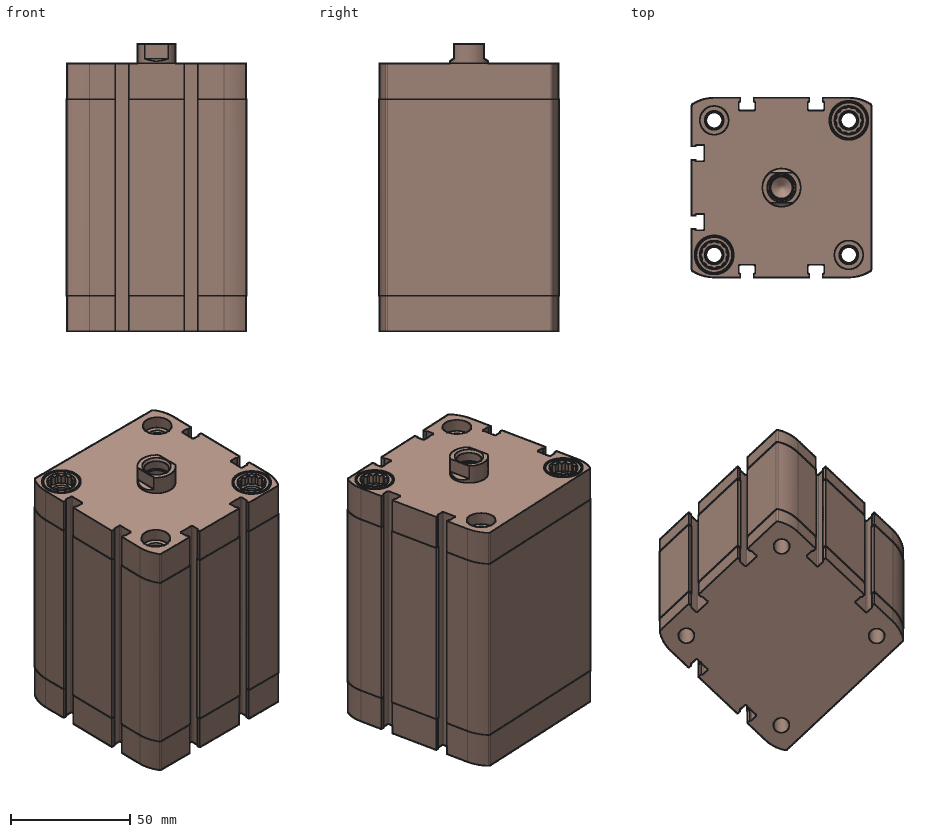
import cadquery as cq
import math

TOTAL_HEIGHT = 120.6
BODY_WIDTH = 75.5
ROD_PROTRUSION = 8.2
BODY_HEIGHT = TOTAL_HEIGHT - ROD_PROTRUSION
CAP_HEIGHT = 15.0
CAP_INSET = 0.1

HOLE_OFFSET = 28.2
CORNER_RADIUS = 16.9
EDGE_ROUND = 1.0

SLOT_OFFSET = 14.5
SLOT_OPENING = 5.5
SLOT_INNER_WIDTH = 6.8
SLOT_CORNER_RADIUS = 0.4
SLOT_LIP = 1.7
SLOT_DEPTH = 5.3
SLOT_SIDES = (90, 180, 270)

THROUGH_DIAMETER = 6.6
COUNTERSINK_DIAMETER = 8.0
RECESS_DIAMETER = 12.0
RECESS_DEPTH = 5.3

SOCKET_POINTS = 12
SOCKET_ROOT_DIAMETER = 10.5
SOCKET_DEPTH = 4.8
SOCKET_LEAD_DEPTH = 1.2
GROOVE_OUTER_DIAMETER = 16.4
GROOVE_FLOOR_DIAMETER = 15.5
GROOVE_INNER_DIAMETER = 15.0
GROOVE_DEPTH = 0.4

ROD_DIAMETER = 16.0
ROD_INSERTION = CAP_HEIGHT
FLAT_DISTANCE = 12.7
FLAT_HEIGHT = 6.2
FLAT_RUNOUT = 1.1
BORE_MOUTH_DIAMETER = 12.0
BORE_DIAMETER = 10.5
BORE_LEAD_DEPTH = 1.2
BORE_DEPTH = 5.1
CORE_DIAMETER = 9.2
CORE_DEPTH = 16.9
DRILL_POINT_ANGLE = 120.0


def revolved(profile):
    """Solid of revolution about Z from (radius, z) points."""
    return cq.Workplane("XZ").polyline(profile).close().revolve(360, (0, 0, 0), (0, 1, 0))


def block(inset, height):
    """Prism whose Y faces run into the X faces by wide arcs, standing on Z = 0."""
    half = BODY_WIDTH / 2 - inset
    radius = CORNER_RADIUS - inset

    def arc_y(x):
        return half - radius + math.sqrt(radius**2 - (x - HOLE_OFFSET) ** 2)

    middle_x = (HOLE_OFFSET + half) / 2
    quarter = (
        cq.Workplane("XY")
        .lineTo(0, half)
        .lineTo(HOLE_OFFSET, half)
        .threePointArc((middle_x, arc_y(middle_x)), (half, arc_y(half)))
        .lineTo(half, 0)
        .close()
        .extrude(height)
    )
    upper_half = quarter.union(quarter.mirror("YZ"))
    whole = upper_half.union(upper_half.mirror("XZ")).clean()
    return whole.faces("<X or >X").edges("|Z").fillet(EDGE_ROUND)


def slot_strips(width, near, far, corner_radius=0):
    """Full-height strips of one width, between two distances from the axis, one for each slot."""
    strip = cq.Workplane("XY").box(far - near, width, BODY_HEIGHT, centered=(False, True, False))
    if corner_radius > 0:
        strip = strip.edges("|Z").fillet(corner_radius)
    strips = []
    for direction in SLOT_SIDES:
        for side in (-1, 1):
            placed = strip.translate((near, side * SLOT_OFFSET, 0))
            strips.append(placed.rotate((0, 0, 0), (0, 0, 1), direction).val())
    return cq.Workplane(cq.Compound.makeCompound(strips))


def profile_section(inset, bottom, height):
    """Length of the body with open slot mouths; the inset also widens the mouths."""
    face = BODY_WIDTH / 2
    mouths = slot_strips(SLOT_OPENING + 2 * inset, face - SLOT_DEPTH, face)
    return block(inset, height).cut(mouths).translate((0, 0, bottom))


def corner_hole(recess_depth):
    """Through hole with a countersunk mouth on the floor of its recess."""
    floor = BODY_HEIGHT - recess_depth
    hole_radius = THROUGH_DIAMETER / 2
    mouth_radius = COUNTERSINK_DIAMETER / 2
    countersink_depth = mouth_radius - hole_radius
    return revolved(
        [
            (0, 0),
            (hole_radius, 0),
            (hole_radius, floor - countersink_depth),
            (mouth_radius, floor),
            (0, floor),
        ]
    )


def round_recess():
    """Plain cylindrical recess above a corner hole."""
    return (
        cq.Workplane("XY", origin=(0, 0, BODY_HEIGHT))
        .circle(RECESS_DIAMETER / 2)
        .extrude(-RECESS_DEPTH)
    )


def socket_recess():
    """Twelve-point socket with a conical lead-in, and the V-groove around it."""
    root_radius = SOCKET_ROOT_DIAMETER / 2
    half_step = math.pi / SOCKET_POINTS
    point_radius = root_radius * math.cos(half_step) / math.cos(2 * half_step)
    outline = []
    for i in range(2 * SOCKET_POINTS):
        radius = point_radius if i % 2 == 0 else root_radius
        outline.append((radius * math.cos(i * half_step), radius * math.sin(i * half_step)))
    socket = (
        cq.Workplane("XY", origin=(0, 0, BODY_HEIGHT))
        .polyline(outline)
        .close()
        .extrude(-SOCKET_DEPTH)
    )
    lead_in = revolved(
        [
            (0, BODY_HEIGHT),
            (RECESS_DIAMETER / 2, BODY_HEIGHT),
            (root_radius, BODY_HEIGHT - SOCKET_LEAD_DEPTH),
            (0, BODY_HEIGHT - SOCKET_LEAD_DEPTH),
        ]
    )
    groove = revolved(
        [
            (GROOVE_INNER_DIAMETER / 2, BODY_HEIGHT),
            (GROOVE_OUTER_DIAMETER / 2, BODY_HEIGHT),
            (GROOVE_FLOOR_DIAMETER / 2, BODY_HEIGHT - GROOVE_DEPTH),
        ]
    )
    return socket.union(lead_in).union(groove)


def make_housing():
    """Barrel between two slightly smaller end caps, with T-slots and corner holes."""
    barrel_height = BODY_HEIGHT - 2 * CAP_HEIGHT
    housing = (
        profile_section(CAP_INSET, 0, CAP_HEIGHT)
        .union(profile_section(0, CAP_HEIGHT, barrel_height))
        .union(profile_section(CAP_INSET, BODY_HEIGHT - CAP_HEIGHT, CAP_HEIGHT))
    )
    face = BODY_WIDTH / 2
    slot_floor = face - SLOT_DEPTH
    wide_slots = slot_strips(SLOT_INNER_WIDTH, slot_floor, face - SLOT_LIP, SLOT_CORNER_RADIUS)
    housing = housing.cut(wide_slots)

    for x_side in (-1, 1):
        for y_side in (-1, 1):
            corner = (x_side * HOLE_OFFSET, y_side * HOLE_OFFSET, 0)
            if x_side == y_side:
                recess = socket_recess()
                hole = corner_hole(SOCKET_DEPTH)
            else:
                recess = round_recess()
                hole = corner_hole(RECESS_DEPTH)
            housing = housing.cut(hole.translate(corner)).cut(recess.translate(corner))

    rod_seat = (
        cq.Workplane("XY", origin=(0, 0, BODY_HEIGHT))
        .circle(ROD_DIAMETER / 2)
        .extrude(-ROD_INSERTION)
    )
    return housing.cut(rod_seat)


def flat_cut():
    """Wrench flat on the +Y side, running out through a slope at its lower end."""
    flat_y = FLAT_DISTANCE / 2
    rod_radius = ROD_DIAMETER / 2
    flat_bottom = TOTAL_HEIGHT - FLAT_HEIGHT
    return (
        cq.Workplane("YZ")
        .moveTo(flat_y, TOTAL_HEIGHT)
        .lineTo(flat_y, flat_bottom)
        .lineTo(rod_radius, flat_bottom - FLAT_RUNOUT)
        .lineTo(rod_radius, TOTAL_HEIGHT)
        .close()
        .extrude(rod_radius, both=True)
    )


def rod_bore():
    """Blind bore with a conical lead-in; its step and its bottom share one cone angle."""
    bore_radius = BORE_DIAMETER / 2
    core_radius = CORE_DIAMETER / 2
    step = TOTAL_HEIGHT - BORE_DEPTH
    core_bottom = TOTAL_HEIGHT - CORE_DEPTH
    point_slope = math.tan(math.radians(DRILL_POINT_ANGLE / 2))
    return revolved(
        [
            (0, TOTAL_HEIGHT),
            (BORE_MOUTH_DIAMETER / 2, TOTAL_HEIGHT),
            (bore_radius, TOTAL_HEIGHT - BORE_LEAD_DEPTH),
            (bore_radius, step),
            (core_radius, step - (bore_radius - core_radius) / point_slope),
            (core_radius, core_bottom),
            (0, core_bottom - core_radius / point_slope),
        ]
    )


def make_rod():
    """Piston rod with two wrench flats and a stepped bore in its end."""
    rod = (
        cq.Workplane("XY", origin=(0, 0, TOTAL_HEIGHT))
        .circle(ROD_DIAMETER / 2)
        .extrude(-(ROD_PROTRUSION + ROD_INSERTION))
    )
    flat = flat_cut()
    return rod.cut(flat).cut(flat.mirror("XZ")).cut(rod_bore())


housing = make_housing()
rod = make_rod()
result = cq.Compound.makeCompound([housing.val(), rod.val()])